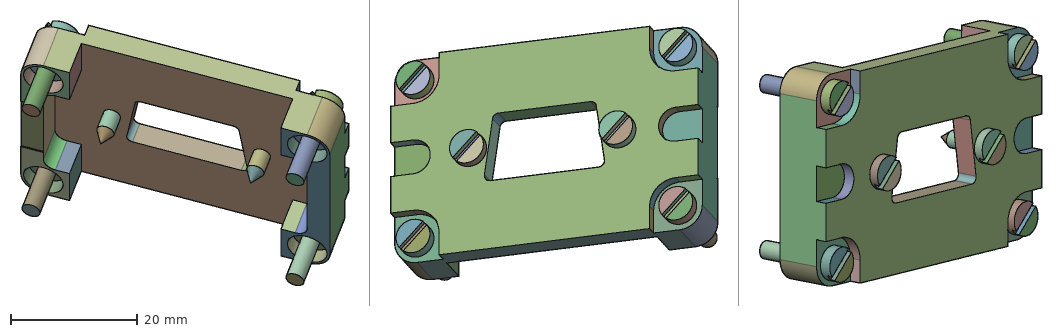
import cadquery as cq


WIDTH = 51.5
HEIGHT = 34.5
DEPTH = 9.8
CORNER_RADIUS = 3.75
PLATE_THICKNESS = 3.75
RAIL_WIDTH = 3.75
BLOCK_WIDTH = 8.15
BLOCK_HEIGHT = 7.25
BLOCK_FILLET = 2.0

WINDOW_HEIGHT = 11.35
WINDOW_TOP_WIDTH = 17.1
WINDOW_BOTTOM_WIDTH = 20.4
WINDOW_FILLET = 1.0

RECESS_DEPTH = 2.0
NOTCH_RADIUS = 2.9

LABEL_HEIGHT = 12.25
LABEL_DEPTH = 0.2

SCREW_INSET = 3.75
CORNER_RECESS_RADIUS = BLOCK_WIDTH - SCREW_INSET
SCREW_RADIUS = 1.5
SCREW_PROTRUSION = 6.35
SCREW_HEAD_RADIUS = 2.85
SCREW_SLOT_DEPTH = 0.9
SCREW_HOLE_RADIUS = 3.3
SCREW_HOLE_DEPTH = 2.5

PIN_SPACING = 25.0
PIN_RADIUS = 1.45
PIN_SHAFT_LENGTH = 3.4
PIN_TIP_LENGTH = 2.45
PIN_HEAD_RADIUS = 2.85
PIN_HEAD_HEIGHT = 1.65
PIN_SLOT_DEPTH = 1.1

SLOT_WIDTH = 0.95
SLOT_ANGLE = 45.0

SCREW_X = WIDTH / 2 - SCREW_INSET
SCREW_Z = HEIGHT / 2 - SCREW_INSET
SCREW_POINTS = [(x, z) for x in (-SCREW_X, SCREW_X) for z in (-SCREW_Z, SCREW_Z)]
PIN_POINTS = [(-PIN_SPACING / 2, 0), (PIN_SPACING / 2, 0)]


def plane_at(y):
    """Sketch plane at depth y, with X to the right and Z up; positive extrusion goes toward -Y."""
    return cq.Workplane("XZ", origin=(0, y, 0))


def make_body():
    body = plane_at(0).rect(WIDTH, HEIGHT).extrude(DEPTH)
    body = body.edges("|Y").fillet(CORNER_RADIUS)

    cavity_depth = DEPTH - PLATE_THICKNESS
    between_rails = (
        plane_at(-PLATE_THICKNESS)
        .rect(WIDTH - 2 * RAIL_WIDTH, HEIGHT - 2 * BLOCK_HEIGHT)
        .extrude(cavity_depth)
        .edges("|Y")
        .fillet(BLOCK_FILLET)
    )
    between_blocks = plane_at(-PLATE_THICKNESS).rect(WIDTH - 2 * BLOCK_WIDTH, HEIGHT).extrude(cavity_depth)
    return body.cut(between_rails).cut(between_blocks)


def make_window():
    bottom, top = -WINDOW_HEIGHT / 2, WINDOW_HEIGHT / 2
    outline = [
        (-WINDOW_BOTTOM_WIDTH / 2, bottom),
        (WINDOW_BOTTOM_WIDTH / 2, bottom),
        (WINDOW_TOP_WIDTH / 2, top),
        (-WINDOW_TOP_WIDTH / 2, top),
    ]
    window = plane_at(0).polyline(outline).close().extrude(PLATE_THICKNESS)
    return window.edges("|Y").fillet(WINDOW_FILLET)


def make_corner_recess(x, z):
    """Pocket open at both outer edges, its inner corner rounded about the screw axis."""
    size = 2 * (SCREW_INSET + CORNER_RECESS_RADIUS)
    corner_x = WIDTH / 2 if x > 0 else -WIDTH / 2
    corner_z = HEIGHT / 2 if z > 0 else -HEIGHT / 2
    recess = plane_at(0).center(corner_x, corner_z).rect(size, size).extrude(RECESS_DEPTH)
    return recess.edges("|Y").fillet(CORNER_RECESS_RADIUS)


def make_screw_hole(x, z):
    """Clearance counterbore around the screw shank, sunk from the front face."""
    return plane_at(-DEPTH).center(x, z).circle(SCREW_HOLE_RADIUS).extrude(-SCREW_HOLE_DEPTH)


def make_side_notches():
    """Round-ended notches running in from the middle of the left and right edges."""
    length = 2 * (SCREW_INSET + NOTCH_RADIUS)
    edges = [(-WIDTH / 2, 0), (WIDTH / 2, 0)]
    return plane_at(0).pushPoints(edges).slot2D(length, 2 * NOTCH_RADIUS).extrude(RECESS_DEPTH)


def make_label_panel():
    panel = plane_at(-DEPTH).center(-(WIDTH - RAIL_WIDTH) / 2, 0)
    return panel.rect(RAIL_WIDTH, LABEL_HEIGHT).extrude(-LABEL_DEPTH)


def make_slotted_head(x, z, base_y, height, radius, slot_depth):
    """Cylindrical head rising toward +Y from base_y, with a diagonal screwdriver slot."""
    head = plane_at(base_y).center(x, z).circle(radius).extrude(-height)
    slot = (
        plane_at(base_y + height)
        .center(x, z)
        .transformed(rotate=(0, 0, -SLOT_ANGLE))
        .rect(2 * radius, SLOT_WIDTH)
        .extrude(slot_depth)
    )
    return head.cut(slot)


def make_screw(x, z):
    shank_length = DEPTH - RECESS_DEPTH + SCREW_PROTRUSION
    shank = plane_at(-RECESS_DEPTH).center(x, z).circle(SCREW_RADIUS).extrude(shank_length)
    head = make_slotted_head(x, z, -RECESS_DEPTH, RECESS_DEPTH, SCREW_HEAD_RADIUS, SCREW_SLOT_DEPTH)
    return shank.union(head)


def make_pin(x, z):
    shaft_length = PLATE_THICKNESS + PIN_SHAFT_LENGTH
    shaft = plane_at(0).center(x, z).circle(PIN_RADIUS).extrude(shaft_length)
    tip_start = cq.Vector(x, -shaft_length, z)
    tip = cq.Solid.makeCone(PIN_RADIUS, 0, PIN_TIP_LENGTH, tip_start, cq.Vector(0, -1, 0))
    head = make_slotted_head(x, z, 0, PIN_HEAD_HEIGHT, PIN_HEAD_RADIUS, PIN_SLOT_DEPTH)
    return shaft.union(cq.Workplane(tip)).union(head)


result = make_body().cut(make_window()).cut(make_side_notches()).cut(make_label_panel())

for x, z in SCREW_POINTS:
    result = result.cut(make_corner_recess(x, z)).cut(make_screw_hole(x, z)).union(make_screw(x, z))

for x, z in PIN_POINTS:
    result = result.union(make_pin(x, z))